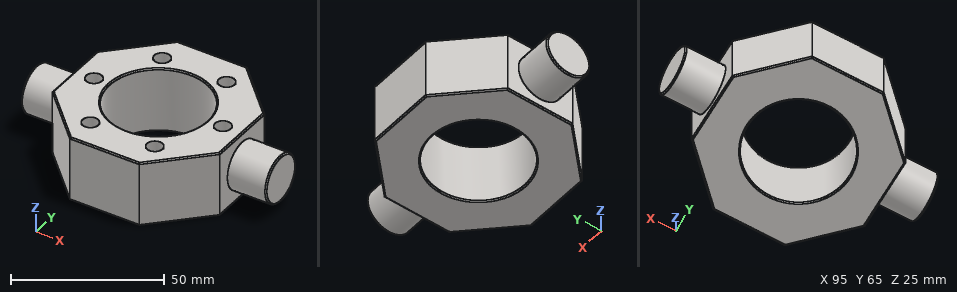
import cadquery as cq
import math

overall_length = 95.0
across_flats = 65.0
thickness = 25.0
bore_diameter = 38.0
pin_diameter = 18.0
hole_diameter = 6.0
hole_depth = 15.0
hole_count = 6
hole_circle_diameter = 50.0
edge_chamfer = 0.5

octagon_sides = 8
across_corners = across_flats / math.cos(math.pi / octagon_sides)
half_turn_per_side = 180 / octagon_sides


def octagonal_body():
    """Regular octagonal block, centred on the origin, with flats facing X and Y."""
    block = (
        cq.Workplane("XY")
        .polygon(octagon_sides, across_corners)
        .extrude(thickness / 2, both=True)
        .rotate((0, 0, 0), (0, 0, 1), half_turn_per_side)
    )
    return block.faces("<Z or >Z").chamfer(edge_chamfer)


def trunnion_pins():
    """One chamfered bar along X; its two ends form the trunnion pins."""
    bar = cq.Workplane("YZ").circle(pin_diameter / 2).extrude(overall_length / 2, both=True)
    return bar.faces("<X or >X").chamfer(edge_chamfer)


def bore():
    """Through bore with a chamfered mouth at each end."""
    radius = bore_diameter / 2
    top = thickness / 2
    mouth_radius = radius + edge_chamfer
    straight_top = top - edge_chamfer
    half_profile = [
        (0, -top),
        (mouth_radius, -top),
        (radius, -straight_top),
        (radius, straight_top),
        (mouth_radius, top),
        (0, top),
    ]
    return cq.Workplane("XZ").polyline(half_profile).close().revolve(360, (0, 0), (0, 1))


def bolt_holes():
    """Flat-bottomed blind holes sunk from the top face, the first one on +X."""
    return (
        cq.Workplane("XY", origin=(0, 0, thickness / 2))
        .polarArray(hole_circle_diameter / 2, 0, 360, hole_count)
        .circle(hole_diameter / 2)
        .extrude(-hole_depth)
    )


result = octagonal_body().union(trunnion_pins()).cut(bore()).cut(bolt_holes())